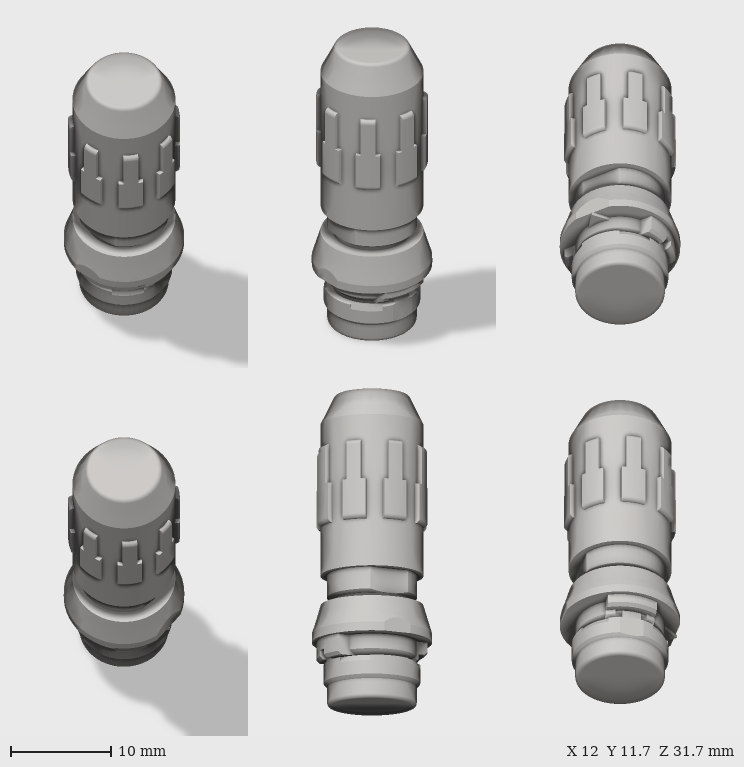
import cadquery as cq
import math


plug_chamfer_bottom_z = 1.95
plug_chamfer_top_z = 2.35
recess_floor_z = 4.0
plug_top_z = 4.3
neck_foot_z = 4.45
neck_cone_top_z = 5.0
collar_bottom_z = 6.5
collar_cone_z = 7.4
collar_top_z = 10.27
throat_chamfer_z = 10.8
throat_z = 11.1
body_bottom_z = 13.3
body_cone_z = 28.75
body_top_z = 31.7

plug_tip_radius = 4.47
plug_radius = 4.82
neck_radius = 4.47
neck_foot_radius = 3.9
recess_radius = 4.2
collar_diameter = 12.0
collar_radius = collar_diameter / 2
body_radius = 5.15
groove_radius = 3.9
throat_radius = 4.5
body_tip_radius = 3.68

tip_round = 0.38
top_round = 0.48
plug_top_chamfer = 0.1

throat_flat = 4.0
collar_front_flat = 5.83
collar_back_flat = 5.7
plug_side_flat = 4.65

rib_count = 8
rib_radius = 5.58
rib_root_radius = 4.9
rib_bottom_z = 18.1
rib_step_z = 22.13
rib_top_z = 26.15
rib_upper_width = 1.5
rib_lower_width = 2.45
rib_end_round = 0.45

lug_radius = 5.55
lug_width = 5.0
lug_chamfer = 0.32
key_width = 0.98
key_top_z = 5.1
lug_notch_top_z = 5.33
short_lug_bottom_z = 5.23
lug_root_radius = 4.7
lug_root_gap = 3.23
wide_key_width = 1.9

notch_width = 3.2
notch_depth = 0.57
notch_slope_width = 0.25
notch_angles = (47.5, 137.5, 222.5, 312.5)

pointer_tip_y = 5.83
pointer_base_y = 3.8
pointer_bottom_z = 6.12
pointer_half_angle = 38.0


def box(x_range, y_range, z_range):
    """Axis-aligned block between the given limits."""
    x0, x1 = x_range
    y0, y1 = y_range
    z0, z1 = z_range
    return cq.Workplane("XY").box(x1 - x0, y1 - y0, z1 - z0, centered=False).translate((x0, y0, z0))


def cylinder(radius, bottom_z, top_z):
    return cq.Workplane("XY").workplane(offset=bottom_z).circle(radius).extrude(top_z - bottom_z)


def turned(points):
    """Solid of revolution about Z from (radius, z) points."""
    return cq.Workplane("XZ").polyline(points).close().revolve(360, (0, 0, 0), (0, 1, 0))


def make_plug():
    """Stepped plug with a notched rim, one side flat and a recess around the foot of the neck."""
    plug = turned([
        (0, 0),
        (plug_tip_radius, 0),
        (plug_tip_radius, plug_chamfer_bottom_z),
        (plug_radius, plug_chamfer_top_z),
        (plug_radius, plug_top_z),
        (0, plug_top_z),
    ])
    plug = plug.faces("<Z").edges().fillet(tip_round)
    plug = plug.faces(">Z").edges().chamfer(plug_top_chamfer)
    for angle in notch_angles:
        plug = plug.cut(make_rim_notch(angle))
    side_slab = box(
        (plug_side_flat, collar_radius), (-collar_radius, collar_radius), (0, plug_top_z)
    )
    recess = cylinder(recess_radius, recess_floor_z, plug_top_z)
    return plug.cut(side_slab).cut(recess)


def make_rim_notch(angle):
    """Steep conical cut across the rim, with parallel side walls."""
    notch_bottom_z = plug_top_z - notch_depth
    cone = turned([
        (plug_radius, notch_bottom_z),
        (collar_radius, notch_bottom_z),
        (collar_radius, plug_top_z),
        (plug_radius - notch_slope_width, plug_top_z),
    ])
    window = box((0, collar_radius), (-notch_width / 2, notch_width / 2), (0, plug_top_z))
    return cone.intersect(window.rotate((0, 0, 0), (0, 0, 1), angle))


def make_collar():
    """Conical collar with one flat on the front and one on the back."""
    collar = turned([
        (0, collar_bottom_z),
        (collar_radius, collar_bottom_z),
        (collar_radius, collar_cone_z),
        (body_radius, collar_top_z),
        (0, collar_top_z),
    ])
    between_flats = box(
        (-collar_radius, collar_radius),
        (-collar_front_flat, collar_back_flat),
        (collar_bottom_z, collar_top_z),
    )
    return collar.intersect(between_flats)


def make_neck():
    """Neck under the collar, tapering to a foot that stands in the plug recess."""
    return turned([
        (0, recess_floor_z),
        (neck_foot_radius, recess_floor_z),
        (neck_foot_radius, neck_foot_z),
        (neck_radius, neck_cone_top_z),
        (neck_radius, collar_bottom_z),
        (0, collar_bottom_z),
    ])


def make_throat():
    """Stem between collar and body, with two parallel wrench flats above a groove."""
    stem = turned([
        (0, collar_top_z),
        (groove_radius, collar_top_z),
        (groove_radius, throat_chamfer_z),
        (throat_flat, throat_chamfer_z),
        (throat_radius, throat_z),
        (throat_radius, body_bottom_z),
        (0, body_bottom_z),
    ])
    between_flats = box(
        (-throat_radius, throat_radius),
        (-throat_flat, throat_flat),
        (collar_top_z, body_bottom_z),
    )
    return stem.intersect(between_flats)


def make_body():
    body = turned([
        (0, body_bottom_z),
        (body_radius, body_bottom_z),
        (body_radius, body_cone_z),
        (body_tip_radius, body_top_z),
        (0, body_top_z),
    ])
    return body.faces(">Z").edges().fillet(top_round)


def make_ribs():
    """Stepped ribs cut from a ring whose outer ends are rounded."""
    ring = cylinder(rib_radius, rib_bottom_z, rib_top_z).edges("%CIRCLE").fillet(rib_end_round)
    reach = (rib_root_radius, rib_radius)
    upper = box(reach, (-rib_upper_width / 2, rib_upper_width / 2), (rib_step_z, rib_top_z))
    lower = box(reach, (-rib_lower_width / 2, rib_lower_width / 2), (rib_bottom_z, rib_step_z))
    rib = ring.intersect(upper.union(lower))
    ribs = rib
    for index in range(1, rib_count):
        ribs = ribs.union(rib.rotate((0, 0, 0), (0, 0, 1), index * 360 / rib_count))
    return ribs


def lug_sector(radius, bottom_z, x_range):
    """Chamfered disc below the collar, trimmed to the lug width on one side."""
    disc = cylinder(radius, bottom_z, collar_bottom_z).faces("<Z").edges().chamfer(lug_chamfer)
    return disc.intersect(box(x_range, (-lug_width / 2, lug_width / 2), (bottom_z, collar_bottom_z)))


def make_key(radius, width, x_range):
    """Upright tab standing on the rim of the plug."""
    post = cylinder(radius, plug_chamfer_top_z, key_top_z)
    return post.intersect(box(x_range, (-width / 2, width / 2), (plug_chamfer_top_z, key_top_z)))


def make_long_lug():
    """Lug on the -X side, reaching down almost to the plug and notched for a key."""
    left = (-lug_radius, 0)
    notch = box(
        (-lug_radius, -recess_radius),
        (-key_width / 2, key_width / 2),
        (neck_foot_z, lug_notch_top_z),
    )
    lug = lug_sector(lug_radius, neck_foot_z, left).cut(notch)
    return lug.union(make_key(plug_radius, key_width, (-plug_radius, -recess_radius)))


def make_short_lug():
    """Lug on the +X side: short, with a thinner root split around a wide key."""
    right = (0, lug_radius)
    gap = box(
        (recess_radius, lug_radius),
        (-lug_root_gap / 2, lug_root_gap / 2),
        (neck_foot_z, short_lug_bottom_z),
    )
    root = lug_sector(lug_root_radius, neck_foot_z, right).cut(gap)
    lug = root.union(lug_sector(lug_radius, short_lug_bottom_z, right))
    return lug.union(make_key(plug_side_flat, wide_key_width, (recess_radius, plug_side_flat)))


def make_pointer():
    """Flat triangular index mark under the collar, pointing to +Y."""
    half_base = (pointer_tip_y - pointer_base_y) * math.tan(math.radians(pointer_half_angle))
    return (
        cq.Workplane("XY")
        .workplane(offset=pointer_bottom_z)
        .polyline([(-half_base, pointer_base_y), (half_base, pointer_base_y), (0, pointer_tip_y)])
        .close()
        .extrude(collar_bottom_z - pointer_bottom_z)
    )


result = (
    make_plug()
    .union(make_neck())
    .union(make_long_lug())
    .union(make_short_lug())
    .union(make_pointer())
    .union(make_collar())
    .union(make_throat())
    .union(make_body())
    .union(make_ribs())
)